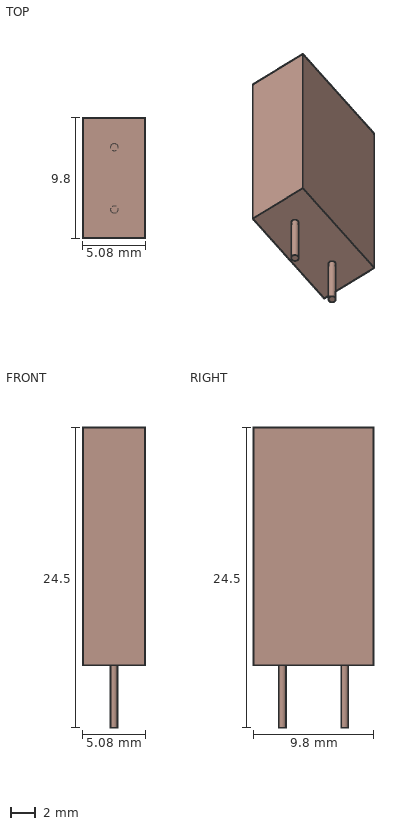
import cadquery as cq

body_width = 5.08
body_depth = 9.8
overall_height = 24.5
body_height = 19.4

lead_diameter = 0.6
lead_pitch = 5.08
lead_length = overall_height - body_height


def make_body():
    """Rectangular block standing on the Z = 0 plane."""
    return cq.Workplane("XY").box(body_width, body_depth, body_height, centered=(True, True, False))


def make_lead(y_position):
    """Round lead hanging from the underside of the block."""
    return cq.Workplane("XY").center(0, y_position).circle(lead_diameter / 2).extrude(-lead_length)


body = make_body()
leads = [make_lead(side * lead_pitch / 2) for side in (-1, 1)]

result = cq.Compound.makeCompound([body.val(), *[lead.val() for lead in leads]])